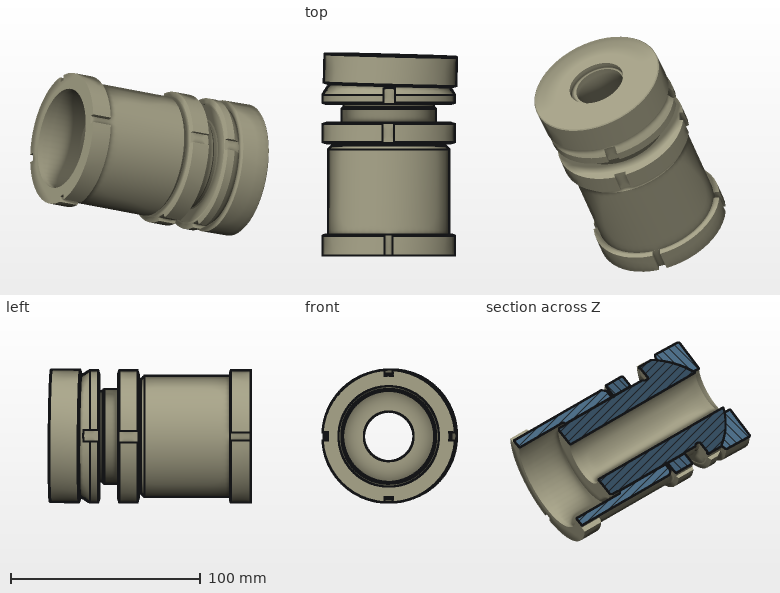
import cadquery as cq
import math


flange_radius = 35.0
thread_radius = 25.0
key_slots = 4

sleeve_length = 58.0
sleeve_radius = 32.0
sleeve_chamfer = 2.0
flange_height = 11.1
flange_bevel_height = 0.6
flange_bevel_radius = 33.4
well_radius = 26.5
well_depth = 28.0
sleeve_slot_width = 4.2
sleeve_slot_floor = sleeve_radius

nut_gap = 1.1
nut_bottom = sleeve_length + nut_gap
nut_height = 11.0
bevel_height = 0.8
bevel_radius = 32.3
nut_slot_width = 6.0
nut_slot_floor = 33.0
nut_turn = -0.25

stud_bottom = 23.2
stud_bore_radius = 13.0
stud_end_chamfer = 1.0
thread_end = 78.3
neck_radius = 23.9
thread_end_chamfer = thread_radius - neck_radius
head_bottom = 79.8
head_recess_radius = 31.6
head_recess_depth = 0.6
neck_root_chamfer = 0.6
dome_bottom = 84.7
dome_radius = 40.0
dome_centre = dome_bottom - math.sqrt(dome_radius**2 - flange_radius**2)
head_slot_width = 6.0
head_slot_floor = 32.7
head_turn = 0.55

washer_bottom = 89.6
washer_top = 105.7
washer_bore_radius = 15.0
washer_chamfer = 0.5
washer_bevel_radius = 32.3
washer_tilt_about_x = 0.5
washer_tilt_about_z = -1.5


def turned(points):
    """Solid of revolution of a closed (radius, y) polygon about the Y axis."""
    return cq.Workplane("XY").polyline(points).close().revolve(360, (0, 0, 0), (0, 1, 0))


def dome_height(radius):
    """Y position of the dome surface at a given radius."""
    return dome_centre + math.sqrt(dome_radius**2 - radius**2)


def cut_key_slots(body, width, floor_radius, y_start, y_end, turn=0):
    """Cut flat-floored slots, evenly spaced around the rim, from y_start to y_end."""
    slot_height = 2 * (flange_radius - floor_radius)
    for index in range(key_slots):
        slot = (
            cq.Workplane("XY")
            .box(width, y_end - y_start, slot_height, centered=(True, False, False))
            .translate((0, y_start, floor_radius))
            .rotate((0, 0, 0), (0, 1, 0), turn + index * 360 / key_slots)
        )
        body = body.cut(slot)
    return body


def make_sleeve():
    body = turned([
        (well_radius, 0),
        (flange_radius, 0),
        (flange_radius, flange_height - flange_bevel_height),
        (flange_bevel_radius, flange_height),
        (sleeve_radius, flange_height),
        (sleeve_radius, sleeve_length - sleeve_chamfer),
        (sleeve_radius - sleeve_chamfer, sleeve_length),
        (thread_radius, sleeve_length),
        (thread_radius, well_depth),
        (well_radius, well_depth),
    ])
    return cut_key_slots(body, sleeve_slot_width, sleeve_slot_floor, 0, flange_height)


def make_lock_nut():
    nut_top = nut_bottom + nut_height
    body = turned([
        (thread_radius, nut_bottom),
        (bevel_radius, nut_bottom),
        (flange_radius, nut_bottom + bevel_height),
        (flange_radius, nut_top - bevel_height),
        (bevel_radius, nut_top),
        (thread_radius, nut_top),
    ])
    return cut_key_slots(body, nut_slot_width, nut_slot_floor, nut_bottom, nut_top, nut_turn)


def make_stud():
    recess_floor = head_bottom + head_recess_depth
    dome_mid_radius = (flange_radius + stud_bore_radius) / 2
    body = (
        cq.Workplane("XY")
        .moveTo(stud_bore_radius, stud_bottom)
        .lineTo(thread_radius - stud_end_chamfer, stud_bottom)
        .lineTo(thread_radius, stud_bottom + stud_end_chamfer)
        .lineTo(thread_radius, thread_end - thread_end_chamfer)
        .lineTo(neck_radius, thread_end)
        .lineTo(neck_radius, recess_floor - neck_root_chamfer)
        .lineTo(neck_radius + neck_root_chamfer, recess_floor)
        .lineTo(head_recess_radius, recess_floor)
        .lineTo(head_recess_radius, head_bottom)
        .lineTo(bevel_radius, head_bottom)
        .lineTo(flange_radius, head_bottom + bevel_height)
        .lineTo(flange_radius, dome_bottom)
        .threePointArc(
            (dome_mid_radius, dome_height(dome_mid_radius)),
            (stud_bore_radius, dome_height(stud_bore_radius)),
        )
        .close()
        .revolve(360, (0, 0, 0), (0, 1, 0))
    )
    return cut_key_slots(body, head_slot_width, head_slot_floor, head_bottom, washer_bottom, head_turn)


def make_washer():
    blank = turned([
        (washer_bore_radius, washer_bottom),
        (washer_bevel_radius, washer_bottom),
        (flange_radius, washer_bottom + bevel_height),
        (flange_radius, washer_top - washer_chamfer),
        (flange_radius - washer_chamfer, washer_top),
        (washer_bore_radius, washer_top),
    ])
    ball = cq.Workplane("XY").sphere(dome_radius).translate((0, dome_centre, 0))
    pivot = cq.Vector(0, dome_centre, 0)
    return (
        blank.cut(ball)
        .rotate(pivot, pivot + cq.Vector(1, 0, 0), washer_tilt_about_x)
        .rotate(pivot, pivot + cq.Vector(0, 0, 1), washer_tilt_about_z)
    )


sleeve = make_sleeve()
lock_nut = make_lock_nut()
stud = make_stud()
washer = make_washer()

result = cq.Compound.makeCompound([sleeve.val(), lock_nut.val(), stud.val(), washer.val()])